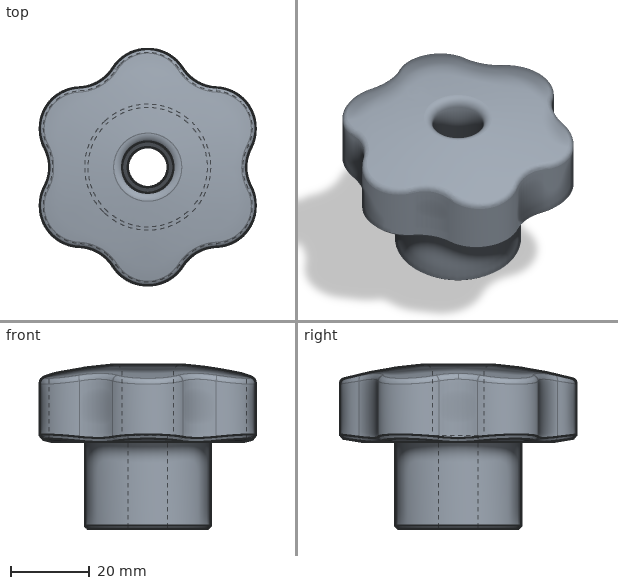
import cadquery as cq
import math

lobe_count = 6
tip_radius = 30.0
lobe_radius = 10.5
total_height = 41.7
stem_height = 22.0
stem_diameter = 32.0
stem_chamfer = 0.85
crown_radius = 109.2
underside_radius = 160.8
underside_flat_radius = 24.0
upper_edge_round = 1.5
lower_edge_chamfer = 0.9
bore_diameter = 10.1
counterbore_diameter = 13.0
counterbore_depth = 18.0
mouth_radius = 8.65
clearance = 6.0

crown_center_z = total_height - math.sqrt(crown_radius**2 - mouth_radius**2)
stem_radius = stem_diameter / 2
underside_center_z = stem_height + math.sqrt(underside_radius**2 - underside_flat_radius**2)


def polar(radius, degrees):
    angle = math.radians(degrees)
    return (radius * math.cos(angle), radius * math.sin(angle))


def lobed_outline():
    """Convex lobes joined by tangent hollows of the same radius."""
    half_pitch = 180 / lobe_count
    lobe_center_radius = tip_radius - lobe_radius
    lobe_offset = lobe_center_radius * math.sin(math.radians(half_pitch))
    hollow_center_radius = lobe_center_radius * math.cos(math.radians(half_pitch)) + math.sqrt(
        (2 * lobe_radius) ** 2 - lobe_offset**2
    )
    valley_radius = hollow_center_radius - lobe_radius

    lobe_x, lobe_y = polar(lobe_center_radius, half_pitch)
    joint_x = (lobe_x + hollow_center_radius) / 2
    joint_y = lobe_y / 2
    joint_radius = math.hypot(joint_x, joint_y)
    joint_angle = math.degrees(math.atan2(joint_y, joint_x))

    outline = cq.Workplane("XY").moveTo(*polar(joint_radius, -joint_angle))
    for index in range(lobe_count):
        valley_angle = index * 2 * half_pitch
        lobe_angle = valley_angle + half_pitch
        next_joint_angle = valley_angle + 2 * half_pitch - joint_angle
        outline = outline.threePointArc(
            polar(valley_radius, valley_angle), polar(joint_radius, valley_angle + joint_angle)
        )
        outline = outline.threePointArc(
            polar(tip_radius, lobe_angle), polar(joint_radius, next_joint_angle)
        )
    return outline.close()


def make_head():
    prism = lobed_outline().extrude(total_height + clearance)
    crown = cq.Workplane("XY").sphere(crown_radius).translate((0, 0, crown_center_z))
    underside = cq.Workplane("XY").sphere(underside_radius).translate((0, 0, underside_center_z))
    head = prism.intersect(crown).intersect(underside)
    head = head.faces(">Z").edges().fillet(upper_edge_round)
    head = head.faces("<Z").edges().chamfer(lower_edge_chamfer)
    above_flat = cq.Workplane("XY").workplane(offset=stem_height).circle(tip_radius + clearance)
    return head.intersect(above_flat.extrude(total_height))


def make_stem():
    stem = cq.Workplane("XY").circle(stem_radius).extrude(stem_height + clearance)
    return stem.faces("<Z").chamfer(stem_chamfer)


def make_bore():
    """Through bore, counterbore and rounded mouth as one revolved cutter."""
    bore_radius = bore_diameter / 2
    counterbore_radius = counterbore_diameter / 2
    mouth_round = mouth_radius - counterbore_radius
    arc_drop = mouth_round * (1 - math.sqrt(0.5))
    top = total_height + clearance
    return (
        cq.Workplane("XZ")
        .moveTo(0, -clearance)
        .lineTo(bore_radius, -clearance)
        .lineTo(bore_radius, total_height - counterbore_depth)
        .lineTo(counterbore_radius, total_height - counterbore_depth)
        .lineTo(counterbore_radius, total_height - mouth_round)
        .threePointArc(
            (counterbore_radius + arc_drop, total_height - arc_drop), (mouth_radius, total_height)
        )
        .lineTo(mouth_radius, top)
        .lineTo(0, top)
        .close()
        .revolve(360, (0, 0, 0), (0, 1, 0))
    )


result = make_head().union(make_stem()).cut(make_bore())